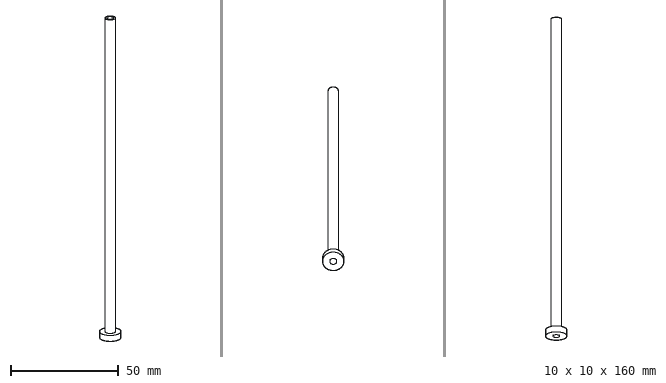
import cadquery as cq

total_length = 160.0
head_diameter = 10.0
head_thickness = 3.0
shaft_diameter = 5.0
bore_diameter = 3.2

head = cq.Workplane("XY").circle(head_diameter / 2).extrude(head_thickness)
shaft = cq.Workplane("XY").circle(shaft_diameter / 2).extrude(total_length)
bore = cq.Workplane("XY").circle(bore_diameter / 2).extrude(total_length)

result = head.union(shaft).cut(bore)